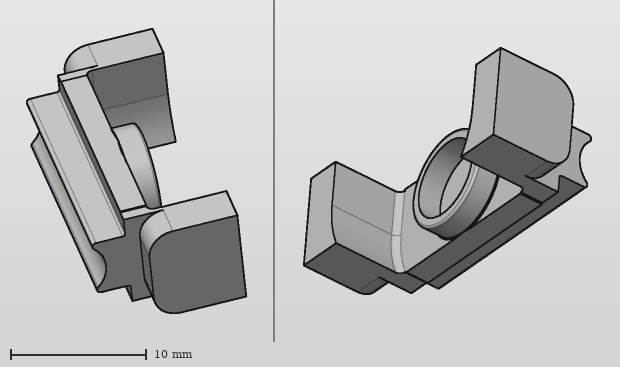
import cadquery as cq
import math

TILT = 5.0

OVERALL_WIDTH = 23.0
ARM_HEIGHT = 7.8
ARM_LENGTH = 6.92
ARM_CORNER_RADIUS = 1.95
BAR_WIDTH = 17.8
BAR_THICKNESS = 2.0
BAR_REAR = 6.0
BAR_FRONT = BAR_REAR + BAR_THICKNESS

POCKET_RADIUS = 8.5
POCKET_FILLET = 0.5
PAD_RADIUS = POCKET_RADIUS - POCKET_FILLET
PAD_HEIGHT = 8.0
TOOL_HALF_HEIGHT = 4.6

RAIL_HEIGHT = 4.72
RAIL_FRONT = 10.55
GROOVE_FLOOR = 9.68
RAIL_LIP_RADIUS = 0.3
RAIL_ROOT_RADIUS = 0.2

BOSS_RADIUS = 4.0
BOSS_HEIGHT = 2.0
BOSS_BORE_RADIUS = 3.22
BOSS_RIM_RADIUS = 0.2
BOSS_ROOT_RADIUS = 0.1


def block(width, rear, front, height):
    """Box centred on X and Z, between two distances from the arm ends."""
    return cq.Workplane("XY").box(width, front - rear, height).translate((0, -(rear + front) / 2, 0))


def arched_block(radius, rear, front):
    """Block with straight upper sides and sides curving inward below the axis."""
    low_half_width = math.sqrt(radius**2 - TOOL_HALF_HEIGHT**2)
    mid_height = -TOOL_HALF_HEIGHT / 2
    mid_half_width = math.sqrt(radius**2 - mid_height**2)
    return (
        cq.Workplane("XZ", origin=(0, -rear, 0))
        .moveTo(-radius, TOOL_HALF_HEIGHT)
        .lineTo(radius, TOOL_HALF_HEIGHT)
        .lineTo(radius, 0)
        .threePointArc((mid_half_width, mid_height), (low_half_width, -TOOL_HALF_HEIGHT))
        .lineTo(-low_half_width, -TOOL_HALF_HEIGHT)
        .threePointArc((-mid_half_width, mid_height), (-radius, 0))
        .close()
        .extrude(front - rear)
    )


def make_frame():
    """Two round-nosed arms joined by the crossbar with its raised centre."""
    arms = block(OVERALL_WIDTH, 0, ARM_LENGTH, ARM_HEIGHT)
    arms = arms.edges("|X and <Y").fillet(ARM_CORNER_RADIUS)
    bar = block(BAR_WIDTH, 0, BAR_FRONT, ARM_HEIGHT)
    pocket = arched_block(POCKET_RADIUS, 0, BAR_REAR)
    pocket = pocket.faces("<Y").edges("not |X").fillet(POCKET_FILLET)
    pad = arched_block(PAD_RADIUS, BAR_REAR, BAR_FRONT)
    pad = pad.intersect(block(BAR_WIDTH, BAR_REAR, BAR_FRONT, PAD_HEIGHT))
    return arms.union(bar).cut(pocket).union(pad)


def make_rail():
    """Full-width rail whose round lips run smoothly into a round groove."""
    half_height = RAIL_HEIGHT / 2
    root_height = half_height + RAIL_ROOT_RADIUS
    root_end = BAR_FRONT + RAIL_ROOT_RADIUS
    root_bulge = RAIL_ROOT_RADIUS * (1 - math.sqrt(0.5))
    lip_y = RAIL_FRONT - RAIL_LIP_RADIUS
    lip_z = half_height - RAIL_LIP_RADIUS

    lip_depth = lip_y - GROOVE_FLOOR
    groove_radius = (lip_depth**2 + lip_z**2 - RAIL_LIP_RADIUS**2) / (2 * (lip_depth + RAIL_LIP_RADIUS))
    groove_y = GROOVE_FLOOR + groove_radius
    groove_share = groove_radius / (groove_radius + RAIL_LIP_RADIUS)
    meet_y = groove_y + (lip_y - groove_y) * groove_share
    meet_z = lip_z * groove_share

    return (
        cq.Workplane(cq.Plane(origin=(-BAR_WIDTH / 2, 0, 0), xDir=(0, -1, 0), normal=(-1, 0, 0)))
        .moveTo(BAR_REAR, root_height)
        .lineTo(BAR_FRONT, root_height)
        .threePointArc((BAR_FRONT + root_bulge, half_height + root_bulge), (root_end, half_height))
        .lineTo(lip_y, half_height)
        .threePointArc((RAIL_FRONT, lip_z), (meet_y, meet_z))
        .threePointArc((GROOVE_FLOOR, 0), (meet_y, -meet_z))
        .threePointArc((RAIL_FRONT, -lip_z), (lip_y, -half_height))
        .lineTo(root_end, -half_height)
        .threePointArc((BAR_FRONT + root_bulge, -half_height - root_bulge), (BAR_FRONT, -root_height))
        .lineTo(BAR_REAR, -root_height)
        .close()
        .extrude(-BAR_WIDTH)
    )


def make_boss():
    """Hollow ring with a rounded rim and flared root, trimmed flush with the pad."""
    ring_rear = BAR_REAR - BOSS_HEIGHT
    ring = (
        cq.Workplane("XZ", origin=(0, -ring_rear, 0))
        .circle(BOSS_RADIUS)
        .extrude(BOSS_HEIGHT)
        .faces(">Y")
        .edges()
        .fillet(BOSS_RIM_RADIUS)
    )
    flare_start = -BAR_REAR + BOSS_ROOT_RADIUS
    arc_offset = BOSS_ROOT_RADIUS * (1 - math.sqrt(0.5))
    flare = (
        cq.Workplane("XY")
        .moveTo(0, -BAR_REAR)
        .lineTo(BOSS_RADIUS + BOSS_ROOT_RADIUS, -BAR_REAR)
        .threePointArc(
            (BOSS_RADIUS + arc_offset, -BAR_REAR + arc_offset),
            (BOSS_RADIUS, flare_start),
        )
        .lineTo(0, flare_start)
        .close()
        .revolve(360, (0, 0, 0), (0, 1, 0))
    )
    bore = cq.Workplane("XZ", origin=(0, -ring_rear, 0)).circle(BOSS_BORE_RADIUS).extrude(BOSS_HEIGHT)
    return ring.union(flare).cut(bore).intersect(block(BAR_WIDTH, 0, BAR_REAR, PAD_HEIGHT))


part = make_frame().union(make_rail()).union(make_boss())

result = part.rotate((0, 0, 0), (1, 0, 0), TILT)